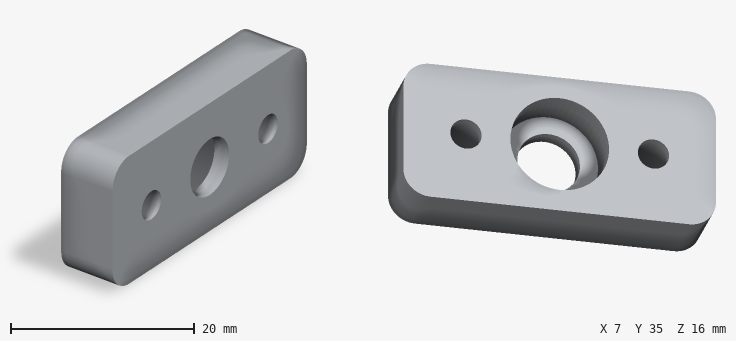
import cadquery as cq

thickness = 7.0
length = 35.0
height = 16.0
corner_radius = 3.0

bore_diameter = 7.0
seat_diameter = 11.05
seat_depth = 5.0

mount_diameter = 3.5
mount_spacing = 21.0


def make_plate():
    """Plate with rounded corners, from X = 0 to X = thickness."""
    plate = cq.Workplane("YZ").rect(length, height).extrude(thickness)
    return plate.edges("|X").fillet(corner_radius)


def hole_cutter(diameter, depth, y=0.0):
    """Cylinder running along +X from the -X face, centred at height zero."""
    return cq.Workplane("YZ").center(y, 0).circle(diameter / 2).extrude(depth)


result = make_plate()
result = result.cut(hole_cutter(seat_diameter, seat_depth))
result = result.cut(hole_cutter(bore_diameter, thickness))
for side in (-1, 1):
    result = result.cut(hole_cutter(mount_diameter, thickness, side * mount_spacing / 2))